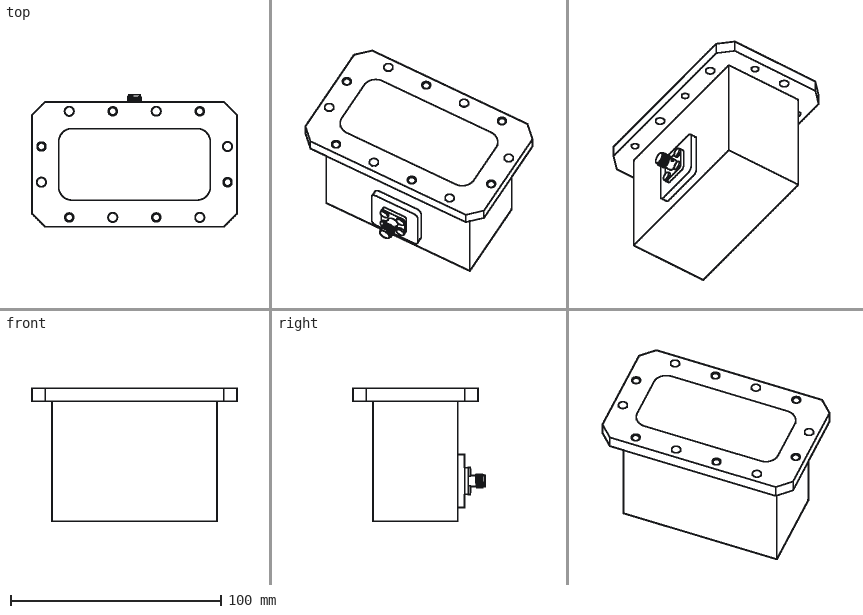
import cadquery as cq
import math

total_height = 63.5
wall = 3.2
cavity_length = 72.2
cavity_width = 34.1
cavity_corner_radius = 6.3
body_length = cavity_length + 2 * wall
body_width = cavity_width + 2 * wall

flange_length = 97.6
flange_width = 59.6
flange_thickness = 6.3
flange_corner_cut = 6.3

row_pitch = 20.7
row_spacing = 50.5
column_pitch = 17.0
column_spacing = 88.6
clearance_diameter = 4.3
tapped_diameter = 3.4
tapped_mouth_diameter = 4.2

connector_tip_y = 33.2
pad_size = 25.3
pad_bottom_z = 6.6
connector_height = pad_bottom_z + pad_size / 2
pad_thickness = 3.1
pad_corner_radius = 2.5
plate_size = 12.7
plate_thickness = 1.7
plate_corner_radius = 1.3
barrel_diameter = 5.4
weep_hole_diameter = 1.3
weep_hole_depth = 0.3
weep_hole_y = 27.1

thread_diameter = 6.3
thread_pitch = 0.7
thread_turns = 5.2
thread_start_y = 28.7
thread_root_overlap = 0.1

screw_spacing = 8.8
screw_head_diameter = 4.2
screw_rim_height = 1.0
screw_dome_height = 0.3

back_y = body_width / 2
pad_face_y = back_y + pad_thickness
plate_face_y = pad_face_y + plate_thickness


def facing_back(y):
    """Workplane at depth y, facing +Y and centred on the connector axis (local x is -X)."""
    plane = cq.Plane(origin=(0, y, connector_height), xDir=(-1, 0, 0), normal=(0, 1, 0))
    return cq.Workplane(plane)


def make_housing():
    body = cq.Workplane("XY").box(body_length, body_width, total_height, centered=(True, True, False))
    flange = (
        cq.Workplane("XY")
        .workplane(offset=total_height - flange_thickness)
        .box(flange_length, flange_width, flange_thickness, centered=(True, True, False))
        .edges("|Z")
        .chamfer(flange_corner_cut)
    )
    cavity = (
        cq.Workplane("XY")
        .workplane(offset=wall)
        .box(cavity_length, cavity_width, total_height, centered=(True, True, False))
        .edges("|Z")
        .fillet(cavity_corner_radius)
    )
    return body.union(flange).cut(cavity)


def rim_hole_points():
    """Hole centres in clockwise order, starting at the -X end of the back row."""
    row_x = [(i - 1.5) * row_pitch for i in range(4)]
    back_row = [(x, row_spacing / 2) for x in row_x]
    right_column = [(column_spacing / 2, side * column_pitch / 2) for side in (1, -1)]
    half_ring = back_row + right_column
    return half_ring + [(-x, -y) for x, y in half_ring]


def make_flange_holes():
    points = rim_hole_points()
    top = cq.Workplane("XY").workplane(offset=total_height)
    clearance = top.pushPoints(points[0::2]).circle(clearance_diameter / 2).extrude(-flange_thickness)
    tapped = top.pushPoints(points[1::2]).circle(tapped_diameter / 2).extrude(-flange_thickness)
    mouth_depth = (tapped_mouth_diameter - tapped_diameter) / 2
    mouths = (
        top.pushPoints(points[1::2])
        .circle(tapped_mouth_diameter / 2)
        .extrude(-mouth_depth, taper=45)
    )
    return clearance.union(tapped).union(mouths)


def make_square_plate(y, size, thickness, corner_radius):
    return facing_back(y).rect(size, size).extrude(thickness).edges("|Y").fillet(corner_radius)


def make_thread():
    """Helical ridge of triangular section around the barrel."""
    root_radius = barrel_diameter / 2 - thread_root_overlap
    crest_radius = thread_diameter / 2
    half_base = 0.45 * thread_pitch
    path = cq.Wire.makeHelix(thread_pitch, thread_turns * thread_pitch, root_radius)
    ridge = (
        cq.Workplane("XZ")
        .polyline([(root_radius, -half_base), (crest_radius, 0), (root_radius, half_base)])
        .close()
        .sweep(cq.Workplane(obj=path), isFrenet=True)
    )
    ridge = ridge.rotate((0, 0, 0), (0, 0, 1), 180)
    return ridge.rotate((0, 0, 0), (1, 0, 0), -90).translate((0, thread_start_y, connector_height))


def make_screw_heads():
    """Four cylindrical rims, each capped with a shallow spherical dome."""
    radius = screw_head_diameter / 2
    dome_radius = (radius**2 + screw_dome_height**2) / (2 * screw_dome_height)
    half_angle = math.asin(radius / dome_radius) / 2
    rim_y = plate_face_y + screw_rim_height
    apex_y = rim_y + screw_dome_height
    arc_middle = (dome_radius * math.sin(half_angle), apex_y - dome_radius * (1 - math.cos(half_angle)))
    head = (
        cq.Workplane("XY")
        .moveTo(0, plate_face_y)
        .lineTo(radius, plate_face_y)
        .lineTo(radius, rim_y)
        .threePointArc(arc_middle, (0, apex_y))
        .close()
        .revolve(360, (0, 0, 0), (0, 1, 0))
    )
    heads = cq.Workplane("XY")
    for x_side in (-1, 1):
        for z_side in (-1, 1):
            x = x_side * screw_spacing / 2
            z = connector_height + z_side * screw_spacing / 2
            heads = heads.add(head.translate((x, 0, z)))
    return heads.combine()


def make_weep_hole():
    floor_x = -barrel_diameter / 2 + weep_hole_depth
    plane = cq.Plane(origin=(floor_x, weep_hole_y, connector_height), xDir=(0, 1, 0), normal=(-1, 0, 0))
    return cq.Workplane(plane).circle(weep_hole_diameter / 2).extrude(barrel_diameter)


def make_connector():
    pad = make_square_plate(back_y, pad_size, pad_thickness, pad_corner_radius)
    plate = make_square_plate(pad_face_y, plate_size, plate_thickness, plate_corner_radius)
    barrel_length = connector_tip_y - plate_face_y
    barrel = facing_back(plate_face_y).circle(barrel_diameter / 2).extrude(barrel_length)
    barrel = barrel.union(make_thread()).cut(make_weep_hole())
    return pad.union(plate).union(barrel).union(make_screw_heads())


assembly = make_housing().cut(make_flange_holes()).union(make_connector())
result = assembly.solids()